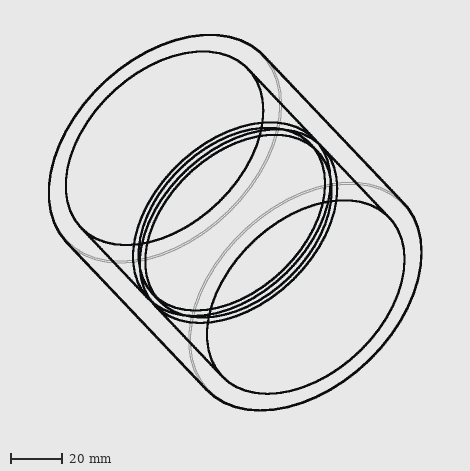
import cadquery as cq

length = 107.0
outer_diameter = 106.0
socket_diameter = 90.0
stop_diameter = 85.0
stop_width = 5.0
rim_radius = 0.5

socket_depth = (length - stop_width) / 2


def cylinder_along_x(diameter, start_x, extent):
    return cq.Workplane("YZ").workplane(offset=start_x).circle(diameter / 2).extrude(extent)


body = cylinder_along_x(outer_diameter, -length / 2, length).edges().fillet(rim_radius)

bore = cylinder_along_x(stop_diameter, -length / 2, length)
left_socket = cylinder_along_x(socket_diameter, -length / 2, socket_depth)
right_socket = cylinder_along_x(socket_diameter, stop_width / 2, socket_depth)

result = body.cut(bore).cut(left_socket).cut(right_socket)